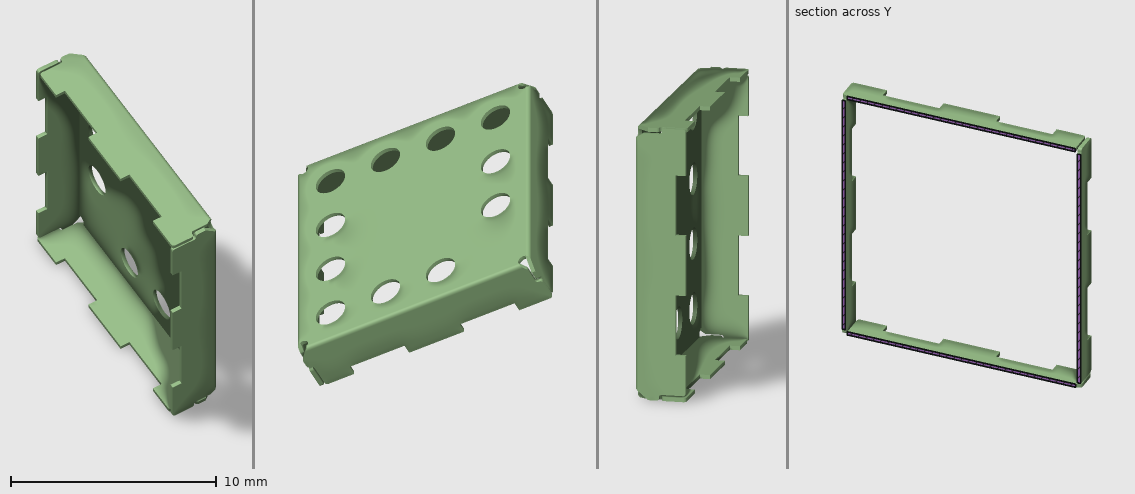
import cadquery as cq

width = 12.7
height = 13.66
depth = 2.54
sheet = 0.2
bend_radius = 0.19
back_y = depth / 2

hole_diameter = 1.6
hole_pitch_x = 3.0
hole_pitch_z = 3.25
holes_per_side = 4

relief_radius = 0.29
relief_inset = 0.33

cutout_length = 3.0
cutout_depth = 0.5
cutout_spacing = 2 * cutout_length

bend_setback = 0.55
rear_chamfer_depth = 0.65
front_chamfer_depth = 0.4
end_setback = 0.3
rear_tab_depth = 1.2
front_tab_depth = 1.33
corner_radius = 0.14


def make_plate():
    """Back plate between the walls, with its holes and corner reliefs."""
    plate_width = width - 2 * sheet
    plate_height = height - 2 * sheet
    plate = cq.Workplane("XY").box(plate_width, sheet, plate_height)
    plate = plate.translate((0, back_y - sheet / 2, 0))

    last = holes_per_side - 1
    hole_centres = []
    for column in range(holes_per_side):
        for row in range(holes_per_side):
            on_border = column in (0, last) or row in (0, last)
            is_blank_corner = column == 0 and row == 0
            if on_border and not is_blank_corner:
                x = (column - last / 2) * hole_pitch_x
                z = (row - last / 2) * hole_pitch_z
                hole_centres.append((x, z))
    holes = (
        cq.Workplane("XZ", origin=(0, back_y, 0))
        .pushPoints(hole_centres)
        .circle(hole_diameter / 2)
        .extrude(sheet)
    )

    reliefs = (
        cq.Workplane("XZ", origin=(0, back_y, 0))
        .rarray(width - 2 * relief_inset, height - 2 * relief_inset, 2, 2)
        .circle(relief_radius)
        .extrude(sheet)
    )
    return plate.cut(holes).cut(reliefs)


def make_wall(length, distance):
    """Upper wall (+Z side): its -X end has the rear tab, its +X end the front tab."""
    end = length / 2
    front_y = -back_y
    rear_tab_y = back_y - rear_tab_depth
    front_tab_y = back_y - front_tab_depth

    outline = [
        (-end + bend_setback, back_y),
        (-end, back_y - rear_chamfer_depth),
        (-end, rear_tab_y),
        (-end + end_setback, rear_tab_y),
        (-end + end_setback, front_y),
        (end, front_y),
        (end, front_tab_y),
        (end - end_setback, front_tab_y),
        (end - end_setback, back_y - front_chamfer_depth),
        (end - bend_setback, back_y),
    ]
    wall_plane = cq.Workplane("XY", origin=(0, 0, distance - sheet))
    wall = wall_plane.polyline(outline).close().extrude(sheet)

    first_rounded = outline.index((-end, rear_tab_y))
    last_rounded = outline.index((end - end_setback, front_tab_y))
    for x, y in outline[first_rounded : last_rounded + 1]:
        corner_edge = cq.selectors.NearestToPointSelector((x, y, distance - sheet / 2))
        wall = wall.edges(corner_edge).fillet(corner_radius)

    cutouts = (
        cq.Workplane("XY", origin=(0, front_y, distance - sheet))
        .rarray(cutout_spacing, 0.14, 2, 1)
        .rect(cutout_length, 2 * cutout_depth)
        .extrude(sheet)
    )

    bend = (
        cq.Workplane("XY")
        .box(length, depth, sheet)
        .translate((0, 0, distance - sheet / 2))
        .edges(">Y and >Z")
        .fillet(bend_radius)
    )
    return wall.cut(cutouts).intersect(bend)


result = make_plate()
for quarter_turn in range(4):
    if quarter_turn % 2 == 0:
        wall = make_wall(width, height / 2)
    else:
        wall = make_wall(height, width / 2)
    result = result.union(wall.rotate((0, 0, 0), (0, 1, 0), 90 * quarter_turn))